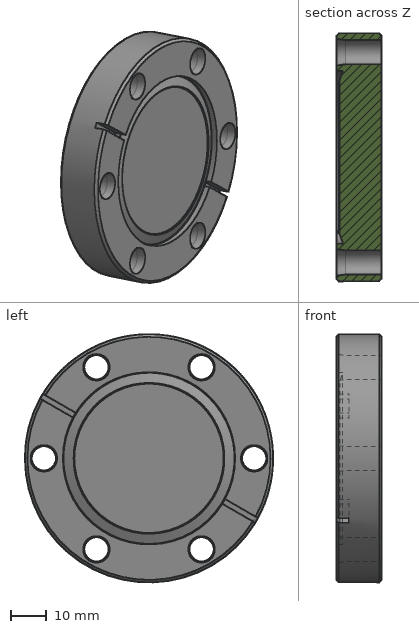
import cadquery as cq
import math

thickness = 12.7
outer_radius = 34.7
rim_chamfer = 0.75

recess_radius = 24.05
slope_foot_radius = 23.85
recess_depth = 1.7
knife_radius = 21.1
knife_slope = 20.0
knife_depth = recess_depth - (slope_foot_radius - knife_radius) * math.tan(math.radians(knife_slope))
floor_radius = 20.8
floor_depth = 1.0

bolt_count = 6
bolt_circle_radius = 29.3
bolt_diameter = 6.7
bolt_entry_diameter = 7.4
bolt_entry_depth = 2.5

groove_width = 1.5
groove_depth = 3.5
groove_angle = 60.0


def flange_body():
    """Revolve the half section, including the knife edge, about the X axis."""
    half_section = (
        cq.Workplane("XY")
        .moveTo(thickness, 0)
        .lineTo(thickness, outer_radius - rim_chamfer)
        .lineTo(thickness - rim_chamfer, outer_radius)
        .lineTo(rim_chamfer, outer_radius)
        .lineTo(0, outer_radius - rim_chamfer)
        .lineTo(0, recess_radius)
        .lineTo(recess_depth, recess_radius)
        .lineTo(recess_depth, slope_foot_radius)
        .lineTo(knife_depth, knife_radius)
        .lineTo(floor_depth, floor_radius)
        .lineTo(floor_depth, 0)
        .close()
    )
    return half_section.revolve(360, (0, 0, 0), (1, 0, 0))


def bolt_holes():
    """Through holes on the bolt circle, each narrowing from the sealing face."""
    hole_section = (
        cq.Workplane("XY")
        .moveTo(0, 0)
        .lineTo(0, bolt_entry_diameter / 2)
        .lineTo(bolt_entry_depth, bolt_diameter / 2)
        .lineTo(thickness, bolt_diameter / 2)
        .lineTo(thickness, 0)
        .close()
    )
    cutter = hole_section.revolve(360, (0, 0, 0), (1, 0, 0)).translate((0, bolt_circle_radius, 0))
    holes = cq.Workplane("XY")
    for index in range(bolt_count):
        holes = holes.add(cutter.rotate((0, 0, 0), (1, 0, 0), index * 360 / bolt_count))
    return holes.combine()


def leak_grooves():
    """A bar across the face, kept only outside the sealing recess."""
    bar = (
        cq.Workplane("XY")
        .box(groove_depth, groove_width, 2 * outer_radius, centered=(False, True, True))
        .rotate((0, 0, 0), (1, 0, 0), -groove_angle)
    )
    recess_core = cq.Workplane("YZ").circle(recess_radius).extrude(groove_depth)
    return bar.cut(recess_core)


result = (
    flange_body()
    .cut(bolt_holes())
    .cut(leak_grooves())
)